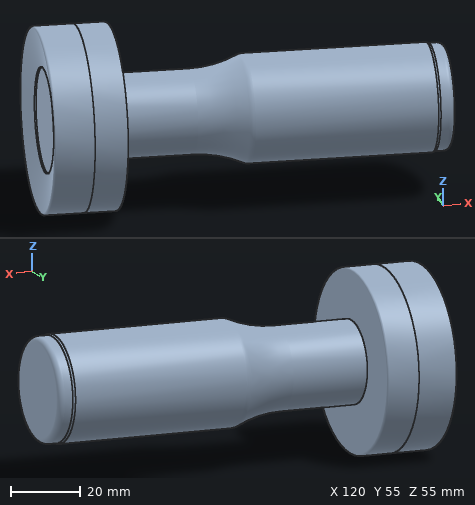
import cadquery as cq
import math

length = 120.0

head_radius = 27.5
head_end = 21.8
ring_end = 12.0
rim_rounding = 0.66
dish_depth = 2.0
window_radius = 15.5
window_recess = 0.5
boss_face = dish_depth + window_recess

neck_radius = 25.0 / 2
neck_end = 45.0
shank_radius = 32.0 / 2
shank_start = 61.2
flare_radius = 34.8

shank_end = 115.0
tip_radius = 31.5 / 2
tip_start = 115.7
tip_rounding = 1.8

flare_run = shank_start - neck_end
flare_rise = shank_radius - neck_radius
flare_angle = 2 * math.atan(flare_rise / flare_run)
blend_radius = flare_run / math.sin(flare_angle) - flare_radius


def flare_point(angle):
    """Point on the concave flare, where its slope has the given angle."""
    return (
        neck_end + flare_radius * math.sin(angle),
        neck_radius + flare_radius * (1 - math.cos(angle)),
    )


def blend_point(angle):
    """Point on the convex blend, where its slope has the given angle."""
    return (
        shank_start - blend_radius * math.sin(angle),
        shank_radius - blend_radius * (1 - math.cos(angle)),
    )


def revolve_about_x(profile):
    """Turn a closed (x, radius) profile into a solid."""
    return profile.close().revolve(360, (0, 0, 0), (1, 0, 0))


def make_front_ring():
    """Ring with a rounded rim, a conical front dish and a central bore."""
    profile = (
        cq.Workplane("XY")
        .moveTo(dish_depth, window_radius)
        .lineTo(0, head_radius - rim_rounding)
        .radiusArc((rim_rounding, head_radius), rim_rounding)
        .lineTo(ring_end, head_radius)
        .lineTo(ring_end, window_radius)
    )
    return revolve_about_x(profile)


def make_holder():
    """Boss filling the ring's bore, rear half of the head, neck, flare and shank."""
    profile = (
        cq.Workplane("XY")
        .moveTo(boss_face, 0)
        .lineTo(boss_face, window_radius)
        .lineTo(ring_end, window_radius)
        .lineTo(ring_end, head_radius)
        .lineTo(head_end - rim_rounding, head_radius)
        .radiusArc((head_end, head_radius - rim_rounding), rim_rounding)
        .lineTo(head_end, neck_radius)
        .lineTo(neck_end, neck_radius)
        .threePointArc(flare_point(flare_angle / 2), flare_point(flare_angle))
        .threePointArc(blend_point(flare_angle / 2), (shank_start, shank_radius))
        .lineTo(shank_end, shank_radius)
        .lineTo(tip_start, tip_radius)
        .lineTo(length - tip_rounding, tip_radius)
        .radiusArc((length, tip_radius - tip_rounding), tip_rounding)
        .lineTo(length, 0)
    )
    return revolve_about_x(profile)


front_ring = make_front_ring()
holder = make_holder()
result = cq.Compound.makeCompound([front_ring.val(), holder.val()])